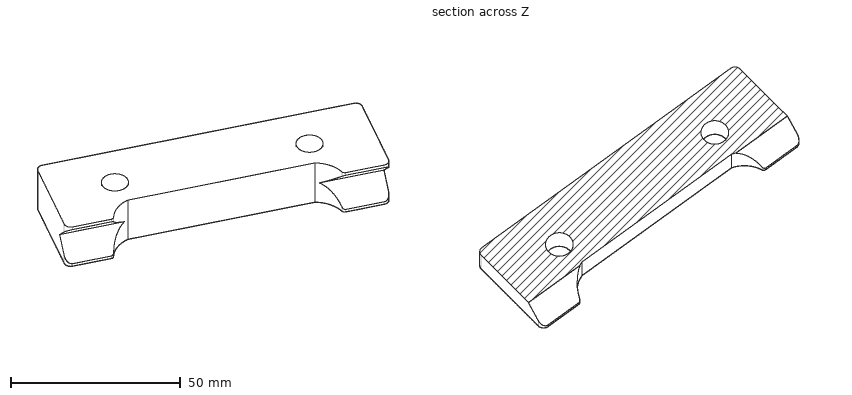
import cadquery as cq
import math

width = 30.0
length = 100.0
thickness = 15.0
corner_radius = 2.0

hole_diameter = 8.0
hole_x = 14.0
hole_spacing = 60.0

groove_depth = 6.5

relief_depth = 7.0
relief_arc_radius = 10.0
relief_arc_x = 32.5
relief_arc_y = 25.7
relief_lip_radius = 1.0


def arc_y(x):
    """Y of the outer half of the relief arc on the +Y end."""
    return relief_arc_y + math.sqrt(relief_arc_radius**2 - (x - relief_arc_x)**2)


def make_block():
    block = cq.Workplane("XY").box(width, length, thickness, centered=(False, True, True))
    return block.edges("|Z").fillet(corner_radius)


def make_relief():
    floor_x = width - relief_depth
    floor_y = arc_y(floor_x)
    mouth_y = arc_y(width)
    middle_x = (floor_x + width) / 2
    middle_y = arc_y(middle_x)
    return (
        cq.Workplane("XY")
        .moveTo(width, -mouth_y)
        .threePointArc((middle_x, -middle_y), (floor_x, -floor_y))
        .lineTo(floor_x, floor_y)
        .threePointArc((middle_x, middle_y), (width, mouth_y))
        .close()
        .extrude(thickness / 2, both=True)
    )


def round_relief_lips(body):
    mouth_y = arc_y(width)
    for y in (-mouth_y, mouth_y):
        lip = cq.selectors.NearestToPointSelector((width, y, 0))
        body = body.edges(lip).fillet(relief_lip_radius)
    return body


def make_groove():
    return (
        cq.Workplane("XZ")
        .polyline([(width - groove_depth, 0), (width, groove_depth), (width, -groove_depth)])
        .close()
        .extrude(length / 2, both=True)
    )


def make_holes():
    half_spacing = hole_spacing / 2
    return (
        cq.Workplane("XY")
        .pushPoints([(hole_x, -half_spacing), (hole_x, half_spacing)])
        .circle(hole_diameter / 2)
        .extrude(thickness / 2, both=True)
    )


relieved_block = round_relief_lips(make_block().cut(make_relief()))
result = relieved_block.cut(make_groove()).cut(make_holes())